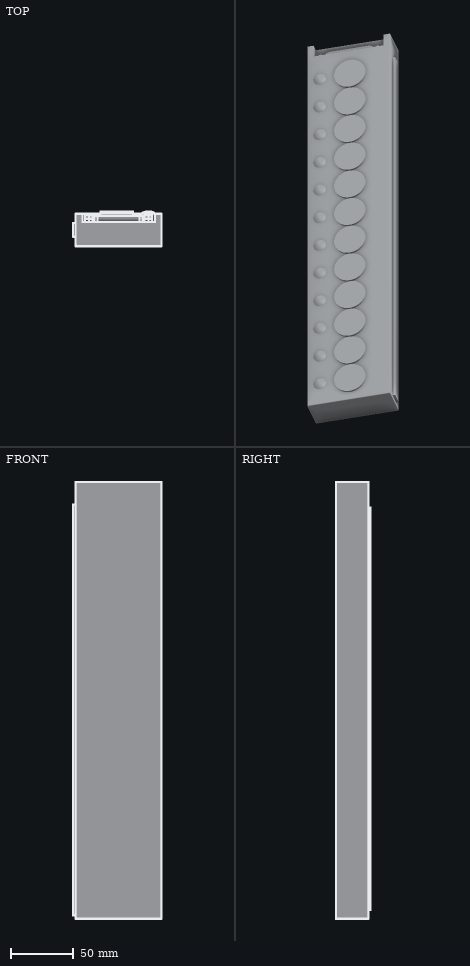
import cadquery as cq

length = 350.5
body_width = 69.0
body_depth = 26.3
edge_round = 0.7

strip_height = 2.0
strip_width = 11.2
strip_bottom = 2.8
strip_top = 332.3

pad_count = 12
pad_pitch = 27.0
first_pad_z = 20.0
pad_x = -1.5
pad_radius = 13.0
pad_height = 1.8
dome_x = 24.0
dome_radius = 5.3
dome_height = 1.8

notch_width = 58.2
notch_depth = 6.5
notch_drop = 10.5
plate_base_width = 41.5
plate_shoulder_width = 38.5
plate_top_width = 33.5
plate_depth = 4.5
plate_shoulder_height = 2.5
plate_height = 3.5
ridge_x = 24.0
ridge_width = 6.0
ridge_depth = 2.5
ridge_height = 2.0
ridge_pitch = 2.8
ridge_rows = 2

notch_front = body_depth - notch_depth
notch_floor = length - notch_drop


def make_body():
    """Bar with its front face at y = 0 and its bottom at z = 0."""
    body = cq.Workplane("XY").box(body_width, body_depth, length, centered=(True, False, False))
    body = body.edges("|Z or <Z").fillet(edge_round)
    notch = cq.Workplane("XY").box(notch_width, notch_depth, notch_drop, centered=(True, False, False))
    return body.cut(notch.translate((0, notch_front, notch_floor)))


def make_strip():
    """Thin flat strip standing out from the left side, with its long edges rounded."""
    strip = cq.Workplane("XY").box(
        strip_height, strip_width, strip_top - strip_bottom, centered=(False, True, False)
    )
    strip = strip.edges("|Z and <X").fillet(edge_round)
    return strip.translate((-body_width / 2 - strip_height, body_depth / 2, strip_bottom))


def make_pad(z):
    """Flat round pad on the back face."""
    pad = cq.Workplane("XZ").circle(pad_radius).extrude(-pad_height)
    return pad.translate((pad_x, body_depth, z))


def make_dome(z):
    """Shallow spherical dome on the back face."""
    sphere_radius = (dome_radius**2 + dome_height**2) / (2 * dome_height)
    half_section = (
        cq.Workplane("XY")
        .lineTo(dome_radius, 0)
        .radiusArc((0, dome_height), -sphere_radius)
        .close()
    )
    dome = half_section.revolve(360, (0, 0, 0), (0, 1, 0))
    return dome.translate((dome_x, body_depth, z))


def make_plate():
    """Raised plate whose ends slope up in two steps, on the notch floor."""
    right_end = [
        (plate_base_width / 2, 0),
        (plate_shoulder_width / 2, plate_shoulder_height),
        (plate_top_width / 2, plate_height),
    ]
    left_end = [(-x, z) for x, z in reversed(right_end)]
    plate = cq.Workplane("XZ").polyline(right_end + left_end).close().extrude(-plate_depth)
    return plate.translate((0, notch_front, notch_floor))


def make_ridge(x, y):
    """Small gabled ridge on the notch floor."""
    profile = [(-ridge_width / 2, 0), (ridge_width / 2, 0), (0, ridge_height)]
    ridge = cq.Workplane("XZ").polyline(profile).close().extrude(-ridge_depth)
    return ridge.translate((x, y, notch_floor))


result = make_body().union(make_strip()).union(make_plate())

for index in range(pad_count):
    pad_z = first_pad_z + index * pad_pitch
    result = result.union(make_pad(pad_z)).union(make_dome(pad_z))

for x in (-ridge_x, ridge_x):
    for row in range(ridge_rows):
        result = result.union(make_ridge(x, notch_front + row * ridge_pitch))